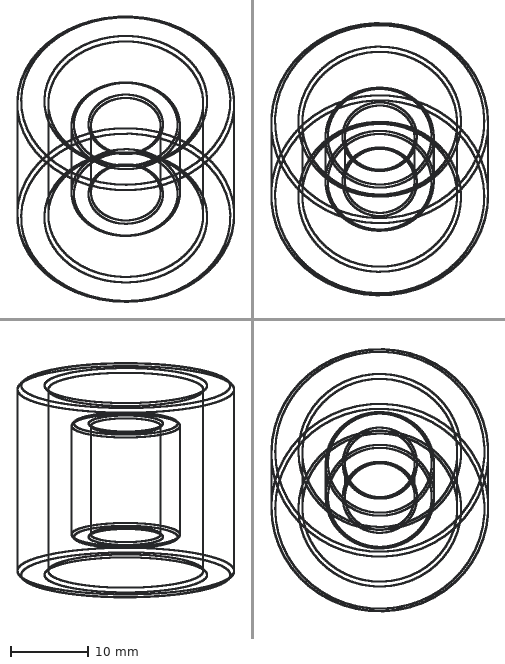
import cadquery as cq

SLEEVE_OUTER_DIAMETER = 28.0
SLEEVE_BORE_DIAMETER = 20.0
SLEEVE_LENGTH = 25.0
SLEEVE_CHAMFER = 0.5

RING_OUTER_DIAMETER = 14.0
RING_BORE_DIAMETER = 9.0
RING_CHAMFER = 0.3
RING_RECESS = 5.0
RING_LENGTH = SLEEVE_LENGTH - 2 * RING_RECESS


def make_tube(outer_diameter, bore_diameter, length, chamfer):
    """Tube along Z, centred on the origin, with all four rim edges chamfered."""
    return (
        cq.Workplane("XY", origin=(0, 0, -length / 2))
        .circle(outer_diameter / 2)
        .circle(bore_diameter / 2)
        .extrude(length)
        .faces("<Z or >Z")
        .edges()
        .chamfer(chamfer)
    )


def make_sleeve():
    return make_tube(SLEEVE_OUTER_DIAMETER, SLEEVE_BORE_DIAMETER, SLEEVE_LENGTH, SLEEVE_CHAMFER)


def make_ring():
    return make_tube(RING_OUTER_DIAMETER, RING_BORE_DIAMETER, RING_LENGTH, RING_CHAMFER)


sleeve = make_sleeve()
ring = make_ring()

result = cq.Compound.makeCompound([sleeve.val(), ring.val()])